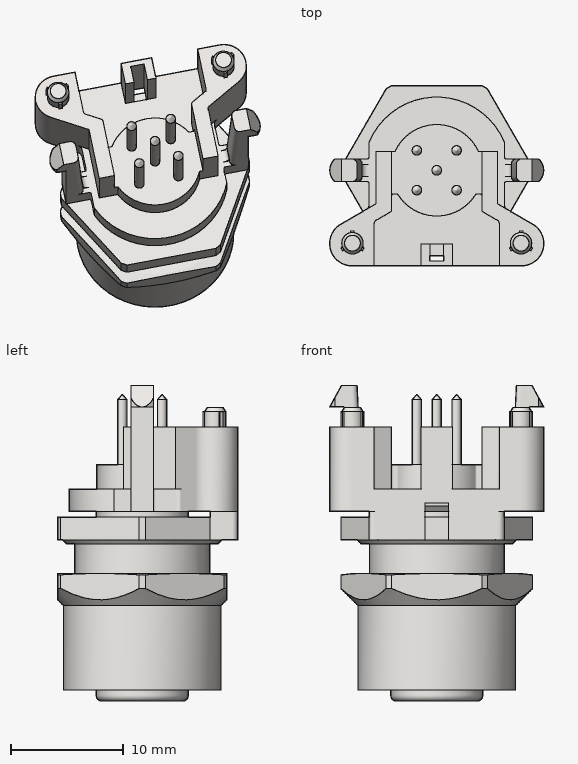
import cadquery as cq
import math


sleeve_bottom = 0.98
nut_bottom = 8.48
nut_top = 11.35
flange_cone_bottom = 13.95
flange_bottom = 14.3
flange_top = 16.32
plate_bottom = 16.83
plate_top = 18.82
insert_top = 20.97
wall_top = 24.33
peg_top = 26.07
hook_bottom = 26.1
pin_top = 27.22
hook_top = 28.0

core_radius = 4.1
core_edge_radius = 0.5
insert_radius = 4.05
insert_middle_z = (plate_top + insert_top) / 2
sleeve_radius = 7.0
neck_radius = 6.0
flange_cone_radius = 6.72
flange_relief_radius = 7.08

hex_across_flats = 15.0
hex_corner_radius = 8.5
hex_across_corners = hex_across_flats / math.cos(math.radians(30))
nut_rim_radius = 7.35
nut_rim_drop = 0.15

pin_radius = 0.42
pin_offset = 1.75
pin_tip_height = 0.48

overall_width = 19.0
plate_radius = 6.5
plate_half_width = 6.0
ear_radius = 2.0
ear_x = overall_width / 2 - ear_radius
front_y = -8.48
ear_y = front_y + ear_radius
wall_slant = math.radians(30)
shoulder_x = ear_x + ear_radius * math.sin(wall_slant)
shoulder_y = ear_y + ear_radius * math.cos(wall_slant)
wall_inner_x = 4.0
wall_outer_x = 5.38
wall_back_y = 1.68
wall_inner_bend_y = -3.65
ear_inner_x = 5.55
filler_front_y = -2.1
wall_fillet = 0.28
shoulder_fillet = 0.48
filler_fillet = 0.17

foot_back_y = -6.02
foot_corner_radius = 0.48

post_width = 2.77
post_back_y = -6.52
channel_width = 1.2
channel_front_y = -8.05
notch_width = 2.1
notch_top = 17.55
notch_wall_y = -7.6
notch_ramp_top = 17.3
notch_ramp_end_y = -7.1

peg_x = 7.48
peg_y = -6.47
peg_radius = 0.95
peg_top_radius = 0.7
peg_chamfer_height = 0.4
rib_reach = 1.1
rib_width = 0.3
rib_angles = (90, 210, 330)

leg_width = 2.02
leg_outer_x = 8.23
leg_inner_top_x = 7.05
leg_inner_root_x = 6.6
leg_blend_height = 0.5
leg_edge_radius = 0.48
leg_root_fillet = 0.2
hook_tip_x = 9.5
hook_top_x = 8.45
hook_side_x = 9.05


def cylinder(radius, z_low, z_high, x=0, y=0):
    disc = cq.Workplane("XY", origin=(x, y, z_low)).circle(radius)
    return disc.extrude(z_high - z_low)


def cone(radius_low, radius_high, z_low, z_high, x=0, y=0):
    height = z_high - z_low
    return cq.Workplane(cq.Solid.makeCone(radius_low, radius_high, height, pnt=cq.Vector(x, y, z_low)))


def block(x_low, x_high, y_low, y_high, z_low, z_high):
    size = (x_high - x_low, y_high - y_low, z_high - z_low)
    return cq.Workplane("XY", origin=(x_low, y_low, z_low)).box(*size, centered=False)


def centred_block(width, y_low, y_high, z_low, z_high):
    return block(-width / 2, width / 2, y_low, y_high, z_low, z_high)


def fillet_upright_pair(shape, x, y, z, radius):
    """Fillet the vertical edges nearest to (x, y, z) and to its mirror point."""
    for side in (-1, 1):
        nearest = cq.NearestToPointSelector((side * x, y, z))
        shape = shape.edges("|Z").edges(nearest).fillet(radius)
    return shape


def both_sides(shape):
    return shape.union(shape.mirror("YZ"))


def hexagon(z_low, z_high):
    """Hexagonal prism, flats facing +Y and -Y, corners turned down to a cylinder."""
    prism = cq.Workplane("XY", origin=(0, 0, z_low)).polygon(6, hex_across_corners).extrude(z_high - z_low)
    return prism.intersect(cylinder(hex_corner_radius, z_low, z_high))


def make_nut():
    """Hexagon with a 45 degree cone below and a shallow cone on its upper rim."""
    cone_height = hex_corner_radius - sleeve_radius
    envelope = (
        cq.Workplane("XZ")
        .moveTo(0, nut_bottom)
        .lineTo(sleeve_radius, nut_bottom)
        .lineTo(hex_corner_radius, nut_bottom + cone_height)
        .lineTo(hex_corner_radius, nut_top - nut_rim_drop)
        .lineTo(nut_rim_radius, nut_top)
        .lineTo(0, nut_top)
        .close()
        .revolve(360, (0, 0, 0), (0, 1, 0))
    )
    return hexagon(nut_bottom, nut_top).intersect(envelope)


def make_body():
    core = cylinder(core_radius, 0, plate_top).faces("<Z").edges().fillet(core_edge_radius)
    body = core.union(cylinder(sleeve_radius, sleeve_bottom, nut_bottom))
    body = body.union(make_nut())
    body = body.union(cylinder(neck_radius, nut_top, flange_cone_bottom))
    body = body.union(cone(flange_cone_radius, flange_relief_radius, flange_cone_bottom, flange_bottom))
    return body.union(hexagon(flange_bottom, flange_top))


def make_insert():
    """Round contact insert, widened at both sides until it meets the side walls."""
    insert = cylinder(insert_radius, plate_top, insert_top)
    insert = insert.union(centred_block(2 * wall_inner_x, filler_front_y, wall_back_y, plate_top, insert_top))
    corner_x = math.sqrt(insert_radius**2 - filler_front_y**2)
    return fillet_upright_pair(insert, corner_x, filler_front_y, insert_middle_z, filler_fillet)


def make_pin(x, y):
    shoulder = pin_top - pin_tip_height
    shank = cylinder(pin_radius, insert_top, shoulder, x, y)
    return shank.union(cone(pin_radius, 0, shoulder, pin_top, x, y))


def make_plate():
    """Round-backed base plate with a tab at each side that carries a snap leg."""
    height = plate_top - plate_bottom
    disc = cylinder(plate_radius, plate_bottom, plate_top)
    plate = disc.union(centred_block(2 * plate_radius, front_y, 0, plate_bottom, plate_top))
    plate_width = 2 * plate_half_width
    plate = plate.intersect(centred_block(plate_width, front_y, plate_radius, plate_bottom, plate_top))
    tabs = cq.Workplane("XY", origin=(0, 0, plate_bottom)).rect(2 * leg_outer_x, leg_width).extrude(height)
    plate = plate.union(tabs)
    middle_z = plate_bottom + height / 2
    for tab_edge_y in (-leg_width / 2, leg_width / 2):
        plate = fillet_upright_pair(plate, plate_half_width, tab_edge_y, middle_z, leg_root_fillet)
    return plate


def make_ear():
    """Right ear and side wall: a round end, a 30 degree shoulder and a straight wall."""
    bend_y = shoulder_y + (shoulder_x - wall_outer_x) * math.tan(wall_slant)
    ear_inner_y = wall_inner_bend_y - (ear_inner_x - wall_inner_x) * math.tan(wall_slant)
    ear = (
        cq.Workplane("XY", origin=(0, 0, plate_bottom))
        .moveTo(ear_inner_x, front_y)
        .lineTo(ear_x, front_y)
        .threePointArc((ear_x + ear_radius, ear_y), (shoulder_x, shoulder_y))
        .lineTo(wall_outer_x, bend_y)
        .lineTo(wall_outer_x, wall_back_y)
        .lineTo(wall_inner_x, wall_back_y)
        .lineTo(wall_inner_x, wall_inner_bend_y)
        .lineTo(ear_inner_x, ear_inner_y)
        .close()
        .extrude(wall_top - plate_bottom)
    )
    for corner in ((wall_inner_x, wall_inner_bend_y), (ear_inner_x, ear_inner_y)):
        nearest = cq.NearestToPointSelector((*corner, (plate_bottom + wall_top) / 2))
        ear = ear.edges("|Z").edges(nearest).fillet(wall_fillet)
    return ear


def make_peg():
    """Peg with a coned tip and three ribs along its side."""
    shoulder = peg_top - peg_chamfer_height
    peg = cylinder(peg_radius, wall_top, shoulder, peg_x, peg_y)
    peg = peg.union(cone(peg_radius, peg_top_radius, shoulder, peg_top, peg_x, peg_y))
    for angle in rib_angles:
        rib = block(0, rib_reach, -rib_width / 2, rib_width / 2, wall_top, shoulder)
        peg = peg.union(rib.rotate((0, 0, 0), (0, 0, 1), angle).translate((peg_x, peg_y, 0)))
    return peg


def make_leg():
    """Right snap leg: tapered inside, blended onto its tab, with a hook facing outwards."""
    blend_top = plate_top + leg_blend_height
    stem = (
        cq.Workplane("XZ", origin=(0, leg_width / 2, 0))
        .moveTo(leg_outer_x, plate_top)
        .lineTo(leg_outer_x, hook_top)
        .lineTo(leg_inner_top_x, hook_top)
        .lineTo(leg_inner_root_x, plate_top)
        .close()
        .extrude(leg_width)
        .faces("<X").edges("not |Y").fillet(leg_edge_radius)
    )
    blend_width = leg_width - 2 * leg_edge_radius
    blend_mid = (1 - math.sqrt(0.5)) * leg_blend_height
    blend_start_x = leg_inner_root_x - leg_blend_height
    blend = (
        cq.Workplane("XZ", origin=(0, blend_width / 2, 0))
        .moveTo(blend_start_x, plate_top)
        .threePointArc((leg_inner_root_x - blend_mid, plate_top + blend_mid), (leg_inner_root_x, blend_top))
        .lineTo(leg_inner_top_x, blend_top)
        .lineTo(leg_inner_top_x, plate_top)
        .close()
        .extrude(blend_width)
    )
    hook_back_x = leg_outer_x - leg_edge_radius
    hook = (
        cq.Workplane("XY", origin=(0, 0, hook_bottom))
        .moveTo(hook_back_x, -leg_width / 2)
        .lineTo(hook_side_x, -leg_width / 2)
        .threePointArc((hook_tip_x, 0), (hook_side_x, leg_width / 2))
        .lineTo(hook_back_x, leg_width / 2)
        .close()
        .extrude(hook_top - hook_bottom)
    )
    slope = (
        cq.Workplane("XZ", origin=(0, leg_width / 2, 0))
        .moveTo(hook_tip_x, hook_bottom)
        .lineTo(hook_tip_x, hook_top)
        .lineTo(hook_top_x, hook_top)
        .close()
        .extrude(leg_width)
    )
    return stem.union(blend).union(hook.cut(slope))


def make_foot():
    foot = centred_block(2 * plate_half_width, front_y, foot_back_y, flange_bottom, plate_bottom)
    return foot.edges("|Z and <Y").fillet(foot_corner_radius)


def make_notch():
    """Latch notch: open to the front and below, with a ramp at the back of its upper end."""
    return (
        cq.Workplane("YZ", origin=(-notch_width / 2, 0, 0))
        .moveTo(front_y, flange_bottom)
        .lineTo(front_y, notch_top)
        .lineTo(notch_wall_y, notch_top)
        .lineTo(notch_wall_y, notch_ramp_top)
        .lineTo(notch_ramp_end_y, plate_bottom)
        .lineTo(foot_back_y, plate_bottom)
        .lineTo(foot_back_y, flange_bottom)
        .close()
        .extrude(notch_width)
    )


def make_bracket():
    bracket = make_plate().union(both_sides(make_ear()))
    meeting_y = shoulder_y + (shoulder_x - plate_half_width) * math.tan(wall_slant)
    plate_middle_z = (plate_bottom + plate_top) / 2
    bracket = fillet_upright_pair(bracket, plate_half_width, meeting_y, plate_middle_z, shoulder_fillet)
    bracket = bracket.union(both_sides(make_peg()))
    bracket = bracket.union(both_sides(make_leg()))
    bracket = bracket.union(make_foot())
    bracket = bracket.union(centred_block(post_width, front_y, post_back_y, plate_top, wall_top))
    bracket = bracket.cut(centred_block(channel_width, channel_front_y, post_back_y, notch_top, wall_top))
    return bracket.cut(make_notch())


result = make_bracket().union(make_insert())
result = fillet_upright_pair(result, wall_inner_x, filler_front_y, insert_middle_z, filler_fillet)
result = result.union(make_body())
pin_places = [(0, 0)] + [(x, y) for x in (-pin_offset, pin_offset) for y in (-pin_offset, pin_offset)]
for pin_x, pin_y in pin_places:
    result = result.union(make_pin(pin_x, pin_y))